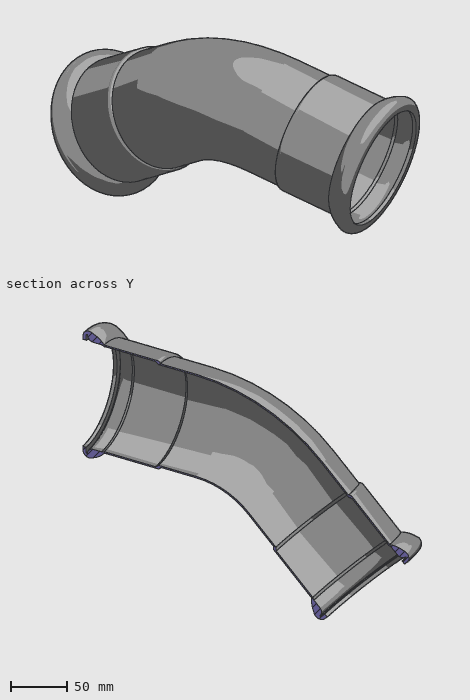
import cadquery as cq
import math

bend_angle = 45.0
bend_radius = 128.5
tube_radius = 108.0 / 2
tube_bore_radius = 104.0 / 2

socket_radius = 112.8 / 2
socket_bore_radius = 108.8 / 2
mouth_radius = 110.8 / 2
bead_radius = 132.0 / 2

arm_length = 115.5
step_end = 79.0
step_start = 75.3
bore_step_end = 77.3
bore_step_start = 74.3
mouth_depth = 19.2
bead_neck = 22.0

bead_round = 6.5
bead_flank_end = 10.5
flank_bulge = 1.0
bead_center = bead_radius - bead_round

lip_depth = 3.5
groove_end = 10.5
groove_round = 6.0
groove_radius = mouth_radius + groove_round


def flank_points():
    """Bulged middle point and rim-side end point of the bead flank, as (radius, depth)."""
    end_radius = bead_center + math.sqrt(bead_round**2 - (bead_flank_end - bead_round) ** 2)
    rise = end_radius - socket_radius
    run = bead_neck - bead_flank_end
    length = math.hypot(rise, run)
    middle = (
        (end_radius + socket_radius) / 2 + flank_bulge * run / length,
        (bead_flank_end + bead_neck) / 2 + flank_bulge * rise / length,
    )
    return middle, (end_radius, bead_flank_end)


def make_arm():
    """Straight tube end with its socket, mouth face at the origin and +Z pointing inward."""
    diagonal = math.sqrt(0.5)
    rim_middle = (bead_center + bead_round * diagonal, bead_round * (1 - diagonal))
    flank_middle, flank_end = flank_points()
    step_middle = (
        tube_radius + (socket_radius - tube_radius) * diagonal,
        step_start + (step_end - step_start) * diagonal,
    )
    groove_middle = (
        groove_radius - groove_round * diagonal,
        groove_end - groove_round * diagonal,
    )
    profile = (
        cq.Workplane("XZ")
        .moveTo(mouth_radius, 0)
        .lineTo(bead_center, 0)
        .threePointArc(rim_middle, flank_end)
        .threePointArc(flank_middle, (socket_radius, bead_neck))
        .lineTo(socket_radius, step_start)
        .threePointArc(step_middle, (tube_radius, step_end))
        .lineTo(tube_radius, arm_length)
        .lineTo(tube_bore_radius, arm_length)
        .lineTo(tube_bore_radius, bore_step_end)
        .lineTo(socket_bore_radius, bore_step_start)
        .lineTo(socket_bore_radius, bead_neck)
        .lineTo(mouth_radius, mouth_depth)
        .lineTo(mouth_radius, groove_end)
        .threePointArc(groove_middle, (groove_radius, groove_end - groove_round))
        .lineTo(groove_radius, lip_depth)
        .lineTo(mouth_radius, lip_depth)
        .close()
    )
    return profile.revolve(360, (0, 0, 0), (0, 1, 0))


def make_bend():
    """Curved tube that starts at the origin along -X and curves downward."""
    ring = cq.Workplane("YZ").circle(tube_radius).circle(tube_bore_radius)
    return ring.revolve(bend_angle, (0, -bend_radius, 0), (-1, -bend_radius, 0))


straight_arm = make_arm().rotate((0, 0, 0), (0, 1, 0), -90).translate((arm_length, 0, 0))
bend_axis_start = (0, 0, -bend_radius)
bend_axis_end = (0, 1, -bend_radius)
sloped_arm = straight_arm.mirror("YZ").rotate(bend_axis_start, bend_axis_end, -bend_angle)

result = straight_arm.union(make_bend()).union(sloped_arm)